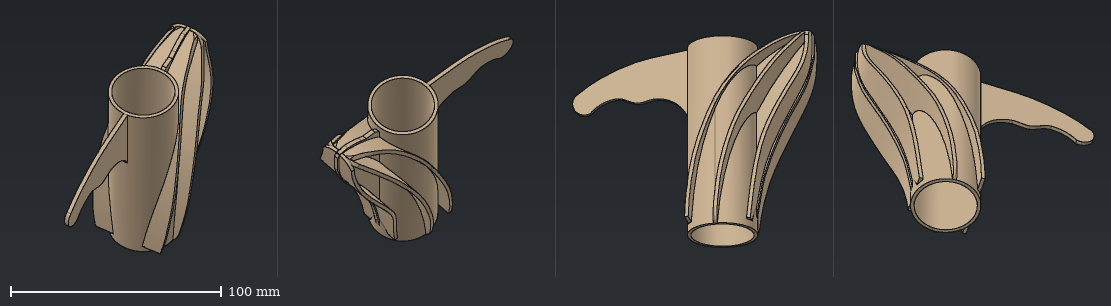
import cadquery as cq

tube_radius = 16.8
bore_radius = 15.0
tube_height = 95.0

plate_thickness = 2.2
part_top = 100.0
spine_back = 44.6
handle_front = spine_back - 117.3
joint_y = tube_radius - 0.8

petal_thickness = 1.9
outer_petal_bottom = 3.9
tip_top = 99.7
wide_dome_mid = (6.5, 98.2)
wide_dome_shoulder = (9.7, 95.0)
narrow_dome_mid = (3.3, 99.4)
narrow_dome_shoulder = (5.7, 98.5)


def make_spine():
    """Rib joining the tube to the petal tip, with a swept back edge."""
    back_edge = [
        (43.4, 82.1), (41.1, 74.1), (35.2, 62.8), (29.3, 51.6), (23.5, 37.8),
        (19.6, 24.6), (17.6, 12.3), (joint_y, outer_petal_bottom),
    ]
    top_start = (37.8, part_top)
    outline = (
        cq.Workplane("YZ", origin=(-plate_thickness / 2, 0, 0))
        .moveTo(joint_y, 90.1)
        .lineTo(19.7, 93.9)
        .lineTo(25.6, 94.6)
        .lineTo(28.7, 96.3)
        .spline([(32.8, 98.3), top_start], includeCurrent=True)
        .lineTo(43.2, part_top)
        .lineTo(spine_back, 98.1)
        .lineTo(spine_back, 87.3)
        .spline(back_edge, includeCurrent=True)
    )
    return outline.close().extrude(plate_thickness)


def make_handle():
    """Finger grip with two scallops underneath and a rounded end."""
    end_top = (-70.4, 76.4)
    end_bottom = (-64.0, 66.3)
    outline = (
        cq.Workplane("YZ", origin=(-plate_thickness / 2, 0, 0))
        .moveTo(-joint_y, tube_height)
        .lineTo(-tube_radius, tube_height)
        .spline([(-29.3, 93.2), (-41.1, 90.9), (-52.8, 86.8), (-62.2, 82.1), end_top], includeCurrent=True)
        .spline(
            [(-71.8, 75.1), (handle_front, 72.0), (-71.8, 68.6), (-69.5, 66.5), (-66.9, 65.8), end_bottom],
            includeCurrent=True,
        )
        .threePointArc((-58.7, 70.6), (-51.6, 72.7))
        .spline([(-46.9, 71.8), (-43.4, 70.3), (-40.6, 69.8), (-37.5, 70.3), (-32.8, 71.3)], includeCurrent=True)
        .threePointArc((-23.2, 68.6), (-tube_radius, 61))
        .lineTo(-joint_y, 61)
    )
    return outline.close().extrude(plate_thickness)


def make_petal(centre_line, blank):
    """Bend a sheet along a YZ centre line and trim it to the blank's side edges."""
    curve = cq.Edge.makeSpline([cq.Vector(0, y, z) for y, z in centre_line])
    samples = len(centre_line)
    side_a = []
    side_b = []
    for i in range(samples):
        position = i / (samples - 1)
        point = curve.positionAt(position)
        tangent = curve.tangentAt(position)
        offset_y = -tangent.z * petal_thickness / 2
        offset_z = tangent.y * petal_thickness / 2
        side_a.append((point.y + offset_y, point.z + offset_z))
        side_b.append((point.y - offset_y, point.z - offset_z))
    side_b.reverse()
    end_z = centre_line[-1][1]
    side_a[-1] = (side_a[-1][0], end_z)
    side_b[0] = (side_b[0][0], end_z)
    sheet = (
        cq.Workplane("YZ")
        .moveTo(*side_a[0])
        .spline(side_a[1:], includeCurrent=True)
        .lineTo(*side_b[0])
        .spline(side_b[1:], includeCurrent=True)
        .close()
        .extrude(2 * tube_radius, both=True)
    )
    return sheet.intersect(blank)


def petal_blank(edge, dome_mid, shoulder):
    """Blank in XZ with a domed top; all points are (half width, z), edge running downwards."""
    left_dome_mid = (-dome_mid[0], dome_mid[1])
    left_shoulder = (-shoulder[0], shoulder[1])
    mirrored = [(-x, z) for x, z in reversed(edge)]
    return (
        cq.Workplane("XZ")
        .moveTo(0, tip_top)
        .threePointArc(dome_mid, shoulder)
        .spline(edge, includeCurrent=True)
        .lineTo(*mirrored[0])
        .spline(mirrored[1:] + [left_shoulder], includeCurrent=True)
        .threePointArc(left_dome_mid, (0, tip_top))
        .close()
        .extrude(2 * spine_back, both=True)
    )


back_petal = make_petal(
    [
        (42.5, 99.8), (42.8, 96.2), (42.8, 89.2), (42.0, 82.5), (40.1, 76.3), (34.4, 64.9), (28.2, 53.3),
        (22.6, 41.1), (19.1, 29.9), (16.8, 18.8), (14.8, outer_petal_bottom),
    ],
    petal_blank(edge=[
        (10.3, 89.2), (12.0, 83.3), (14.7, 75.1), (16.4, 68), (17.6, 56.3), (17.1, 44.6),
        (15.3, 35.2), (12.5, 23.5), (10.6, outer_petal_bottom),
    ], dome_mid=wide_dome_mid, shoulder=wide_dome_shoulder),
)
middle_petal = make_petal(
    [
        (42.2, 98.5), (37.2, 92.7), (29.3, 82.5), (23.5, 73.9), (17.0, 62.8), (11.5, 51.6),
        (7.6, 41.1), (4.6, 29.9), (2.2, 18.2), (0.8, 8.2), (0.1, 0),
    ],
    petal_blank(edge=[
        (11.7, 90.9), (15.3, 83.3), (18.4, 70.4), (20.9, 58.7), (22.4, 46.9), (22.9, 35.2),
        (22.6, 23.5), (21.0, 11.7), (19.6, 4.7), (18.8, 2.3), (tube_radius, 0),
    ], dome_mid=wide_dome_mid, shoulder=wide_dome_shoulder),
)
front_petal = make_petal(
    [
        (42.2, 98.5), (36.4, 97.1), (29.3, 94.1), (23.5, 90.6), (17.0, 85.6), (11.7, 80.0), (5.9, 72.0),
        (0, 60.8), (-5.3, 46.9), (-9.3, 33.4), (-11.8, 20.5), (-13.8, outer_petal_bottom),
    ],
    petal_blank(edge=[
        (7, 96.8), (8.6, 94.5), (10.0, 90.9), (11.7, 86.3), (14.1, 80.6), (17.5, 70.4), (19.8, 58.7),
        (21.1, 46.9), (21.6, 35.2), (20.9, 23.5), (19.5, 11.7), (17.8, outer_petal_bottom),
    ], dome_mid=narrow_dome_mid, shoulder=narrow_dome_shoulder),
)

tube = cq.Workplane("XY").circle(tube_radius).extrude(tube_height)
bore = cq.Workplane("XY").circle(bore_radius).extrude(part_top)

result = (
    tube.union(make_spine())
    .union(make_handle())
    .union(back_petal)
    .union(middle_petal)
    .union(front_petal)
    .cut(bore)
)